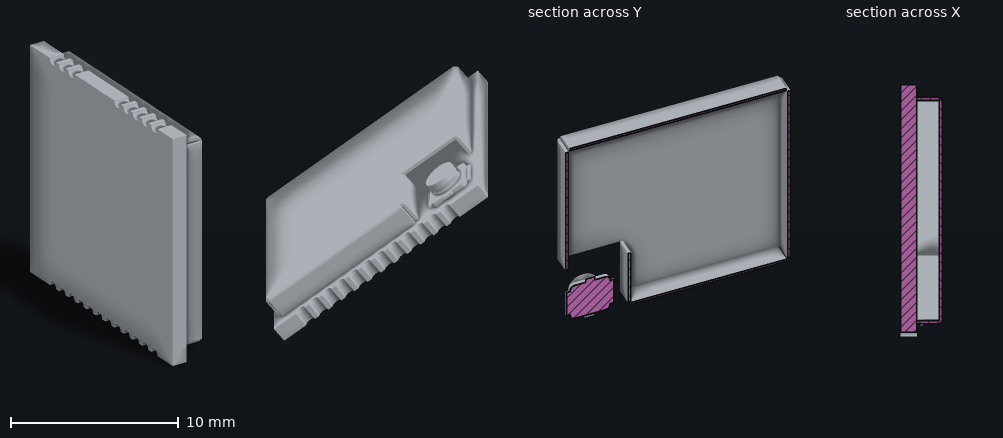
import cadquery as cq
import math

board_width = 15.5
board_height = 15.0
board_thickness = 0.99

notch_radius = 0.34
notch_places = 12
first_notch_x = 2.5
last_notch_x = 13.5
notch_pitch = (last_notch_x - first_notch_x) / (notch_places - 1)
lower_notches = range(notch_places)
upper_notches = [0, 1, 2, 7, 8, 9, 10, 11]

shield_side_margin = 0.45
shield_end_margin = 0.75
shield_left = shield_side_margin
shield_right = board_width - shield_side_margin
shield_bottom = shield_end_margin
shield_top = board_height - shield_end_margin
shield_depth = 1.5
sheet_thickness = 0.2
bend_radius = 0.25
shield_back = board_thickness + shield_depth

cutout_right = 4.5
cutout_top = 4.82

connector_x = 2.05
connector_z = 2.2
base_size = 2.6
base_height = 0.34
base_corner_radius = 0.33
barrel_radius = 0.99
barrel_height = 1.16
groove_radius = 0.93
groove_start = 0.45
groove_end = 0.73
groove_flank = 0.08
tab_length = 0.25
tab_height = 0.17
raised_tab_thickness = 0.14
end_tab_width = 0.62
side_tab_width = 1.85


def block(x_range, y_range, z_range):
    """Axis-aligned box given by its limits."""
    size = [high - low for low, high in (x_range, y_range, z_range)]
    corner = (x_range[0], y_range[0], z_range[0])
    return cq.Workplane("XY").box(*size, centered=False).translate(corner)


def notch_cutters():
    """Cylinders whose axes lie on the lower and upper board edges."""
    places = [(first_notch_x + i * notch_pitch, 0) for i in lower_notches]
    places += [(first_notch_x + i * notch_pitch, board_height) for i in upper_notches]
    return cq.Workplane("XZ").pushPoints(places).circle(notch_radius).extrude(-board_thickness)


def make_connector():
    """Rounded base with solder tabs, carrying a barrel with a snap groove."""
    base = block(
        (connector_x - base_size / 2, connector_x + base_size / 2),
        (board_thickness, board_thickness + base_height),
        (connector_z - base_size / 2, connector_z + base_size / 2),
    )
    base = base.edges("|Y").fillet(base_corner_radius)

    barrel_outline = [
        (0, 0),
        (barrel_radius, 0),
        (barrel_radius, groove_start),
        (groove_radius, groove_start + groove_flank),
        (groove_radius, groove_end - groove_flank),
        (barrel_radius, groove_end),
        (barrel_radius, barrel_height),
        (0, barrel_height),
    ]
    barrel = cq.Workplane("XY").polyline(barrel_outline).close().revolve(360, (0, 0), (0, 1))
    barrel = barrel.translate((connector_x, board_thickness, connector_z))

    tab_reach = base_size / 2 + tab_length
    tab_layer = (board_thickness, board_thickness + tab_height)
    base_top = board_thickness + base_height
    raised_layer = (base_top - raised_tab_thickness, base_top)
    tab_x = (connector_x - end_tab_width / 2, connector_x + end_tab_width / 2)
    upper_tab = block(tab_x, tab_layer, (connector_z, connector_z + tab_reach))
    raised_tab = block(tab_x, raised_layer, (connector_z - tab_reach, connector_z))
    side_tabs = block(
        (connector_x - tab_reach, connector_x + tab_reach),
        tab_layer,
        (connector_z - side_tab_width / 2, connector_z + side_tab_width / 2),
    )
    return base.union(barrel).union(upper_tab).union(raised_tab).union(side_tabs)


def make_board():
    """Notched board with its connector."""
    board = block((0, board_width), (0, board_thickness), (0, board_height))
    return board.cut(notch_cutters()).union(make_connector())


def make_wall(start, end):
    """Bent wall along a plan line from start to end, given as (x, z), outer side on the left."""
    direction = cq.Vector(end[0] - start[0], 0, end[1] - start[1])
    inward = cq.Vector(0, 1, 0).cross(direction)
    plane = cq.Plane(
        origin=(start[0], board_thickness, start[1]),
        xDir=inward.toTuple(),
        normal=direction.toTuple(),
    )
    bend_start = shield_depth - bend_radius
    inner_radius = bend_radius - sheet_thickness
    outer_reach = bend_radius * math.sqrt(0.5)
    inner_reach = inner_radius * math.sqrt(0.5)
    outer_mid = (bend_radius - outer_reach, bend_start + outer_reach)
    inner_mid = (bend_radius - inner_reach, bend_start + inner_reach)
    profile = (
        cq.Workplane(plane)
        .lineTo(0, bend_start)
        .threePointArc(outer_mid, (bend_radius, shield_depth))
        .lineTo(bend_radius, shield_depth - sheet_thickness)
        .threePointArc(inner_mid, (sheet_thickness, bend_start))
        .lineTo(sheet_thickness, 0)
        .close()
    )
    return profile.extrude(direction.Length)


def make_shield():
    """Back plate with a bent wall on each side and open slits at the corners."""
    plate_y = (shield_back - sheet_thickness, shield_back)
    left, right = shield_left + bend_radius, shield_right - bend_radius
    bottom, top = shield_bottom + bend_radius, shield_top - bend_radius
    cutout_left = cutout_right + bend_radius

    shield = block((left, right), plate_y, (bottom, top))
    shield = shield.cut(block((0, cutout_left), plate_y, (0, cutout_top)))
    walls = [
        ((shield_left, cutout_top), (shield_left, top)),
        ((left, shield_top), (right, shield_top)),
        ((shield_right, top), (shield_right, bottom)),
        ((right, shield_bottom), (cutout_left, shield_bottom)),
        ((cutout_right, bottom), (cutout_right, cutout_top)),
    ]
    for start, end in walls:
        shield = shield.union(make_wall(start, end))
    return shield


board = make_board()
shield = make_shield()

result = cq.Compound.makeCompound([board.val(), shield.val()])